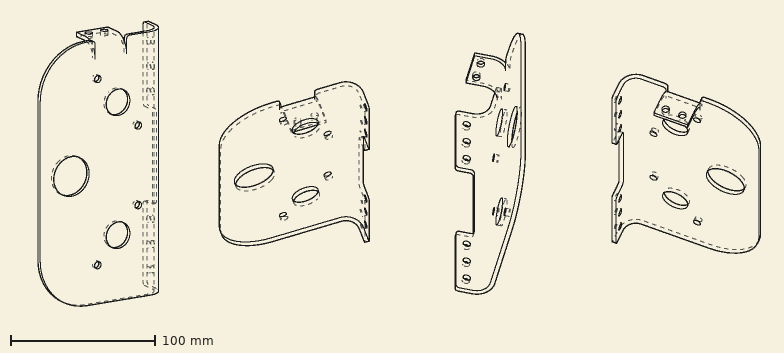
import cadquery as cq

depth = 25.3
width = 101.5
height = 190.5
sheet = 3.2
bend_outer = 13.0
bend_inner = bend_outer - sheet
plate_x = depth - sheet
mid_z = height / 2
plate_corner = 38.0
small_corner = 2.5

flange_ear = 61.0
flange_notch_floor = 13.0
flange_hole_x = 7.6
flange_hole_end = 12.5
flange_hole_pitch = 18.3
holes_per_ear = 3

tab_width = 25.5
tab_y = 57.2
tab_hole_x = 6.0
tab_hole_pitch = 12.5
fixing_diameter = 5.1

center_hole_y = 25.3
center_hole_diameter = 28.5
port_y = 63.0
port_offset_z = 48.0
port_diameter = 19.0
port_screw_dy = 16.4
port_screw_dz = 19.2


def bent_section(plane, edge, plate_end):
    """L-shaped sheet section: a leg along X bent into a leg running down to plate_end."""
    return (
        cq.Workplane(plane)
        .moveTo(0, edge)
        .lineTo(depth - bend_outer, edge)
        .radiusArc((depth, edge - bend_outer), bend_outer)
        .lineTo(depth, plate_end)
        .lineTo(plate_x, plate_end)
        .lineTo(plate_x, edge - bend_outer)
        .radiusArc((depth - bend_outer, edge - sheet), -bend_inner)
        .lineTo(0, edge - sheet)
        .close()
    )


def cylinder_x(y, z, diameter):
    """Cutter along X through the plate."""
    return cq.Workplane("YZ").center(y, z).circle(diameter / 2).extrude(depth)


def make_folded_sheet():
    """Plate and side flange with the large free corners rounded."""
    sheet_body = bent_section("XY", width, 0).extrude(height)
    sheet_body = sheet_body.edges("|X and <Y").fillet(plate_corner)
    return sheet_body.edges("|Y and <X").fillet(small_corner)


def flange_notch():
    """Cutter that leaves an ear at each end of the flange, with rounded corners."""
    notch_height = height - 2 * flange_ear
    start_y = width - bend_outer
    notch = (
        cq.Workplane("XY")
        .box(flange_notch_floor, bend_outer, notch_height, centered=False)
        .edges("|Y and >X")
        .fillet(small_corner)
    )
    mouth = cq.Workplane("XY").box(
        small_corner, bend_outer, notch_height + 2 * small_corner, centered=False
    ).translate((0, 0, -small_corner))
    for z in (-small_corner, notch_height + small_corner):
        rounding = cq.Workplane("XZ").center(small_corner, z).circle(small_corner).extrude(-bend_outer)
        mouth = mouth.cut(rounding)
    return notch.union(mouth).translate((0, start_y, flange_ear))


def tab_notch():
    """Cutter making room for the tab, with rounded upper plate corners."""
    floor_z = height - bend_outer
    notch = cq.Workplane("XY").box(sheet, tab_width, bend_outer, centered=False)
    mouth = cq.Workplane("XY").box(
        sheet, tab_width + 2 * small_corner, small_corner, centered=False
    ).translate((0, -small_corner, bend_outer - small_corner))
    for y in (-small_corner, tab_width + small_corner):
        rounding = (
            cq.Workplane("YZ")
            .center(y, bend_outer - small_corner)
            .circle(small_corner)
            .extrude(sheet)
        )
        mouth = mouth.cut(rounding)
    return notch.union(mouth).translate((plate_x, tab_y - tab_width / 2, floor_z))


def make_tab():
    """Tab bent from the plate's top edge, with its two fixing holes."""
    tab = bent_section("XZ", height, height - bend_outer - sheet).extrude(-tab_width)
    tab = tab.translate((0, tab_y - tab_width / 2, 0))
    holes = (
        cq.Workplane("XY")
        .pushPoints([(tab_hole_x, tab_y + side * tab_hole_pitch / 2) for side in (-1, 1)])
        .circle(fixing_diameter / 2)
        .extrude(height)
    )
    return tab.cut(holes)


def flange_holes():
    """Cutters for the rows of fixing holes in both ears."""
    points = []
    for index in range(holes_per_ear):
        end_distance = flange_hole_end + index * flange_hole_pitch
        points += [(flange_hole_x, end_distance), (flange_hole_x, height - end_distance)]
    return cq.Workplane("XZ").pushPoints(points).circle(fixing_diameter / 2).extrude(-width)


body = make_folded_sheet().cut(flange_notch()).cut(flange_holes())
body = body.cut(tab_notch())

body = body.cut(cylinder_x(center_hole_y, mid_z, center_hole_diameter))
for side in (-1, 1):
    port_z = mid_z + side * port_offset_z
    body = body.cut(cylinder_x(port_y, port_z, port_diameter))
    for direction in (-1, 1):
        screw_y = port_y - direction * port_screw_dy
        screw_z = port_z + direction * side * port_screw_dz
        body = body.cut(cylinder_x(screw_y, screw_z, fixing_diameter))

result = body.union(make_tab())